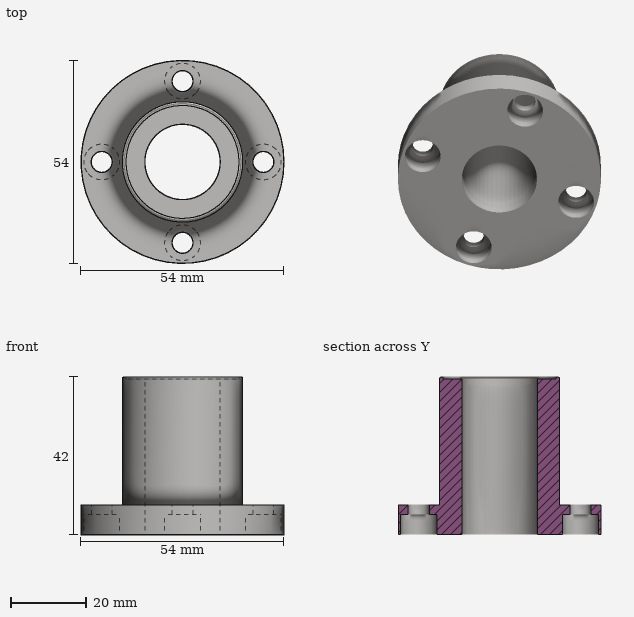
import cadquery as cq

flange_diameter = 54.0
flange_thickness = 8.0

total_height = 42.0
barrel_diameter = 32.0
barrel_edge_radius = 0.5
bore_diameter = 20.0

recess_diameter = 30.0
recess_depth = 0.5

hole_count = 4
hole_circle_diameter = 43.0
hole_diameter = 5.5
counterbore_diameter = 9.5
counterbore_depth = 5.4


def flanged_barrel():
    """Round flange with a round-edged barrel standing on it."""
    flange = cq.Workplane("XY").circle(flange_diameter / 2).extrude(flange_thickness)
    barrel = (
        cq.Workplane("XY")
        .circle(barrel_diameter / 2)
        .extrude(total_height)
        .faces(">Z")
        .fillet(barrel_edge_radius)
    )
    return flange.union(barrel)


def bore_and_recess():
    """Through bore together with the recess at the barrel's top end."""
    bore = cq.Workplane("XY").circle(bore_diameter / 2).extrude(total_height)
    recess = (
        cq.Workplane("XY", origin=(0, 0, total_height))
        .circle(recess_diameter / 2)
        .extrude(-recess_depth)
    )
    return bore.union(recess)


def ring_of_cylinders(diameter, height):
    """Upright cylinders from the underside, spaced evenly on the hole circle."""
    return (
        cq.Workplane("XY")
        .polarArray(hole_circle_diameter / 2, 0, 360, hole_count)
        .circle(diameter / 2)
        .extrude(height)
    )


def screw_holes():
    """Through holes, each with a counterbore at the bottom."""
    holes = ring_of_cylinders(hole_diameter, flange_thickness)
    counterbores = ring_of_cylinders(counterbore_diameter, counterbore_depth)
    return holes.union(counterbores)


result = flanged_barrel().cut(bore_and_recess()).cut(screw_holes())